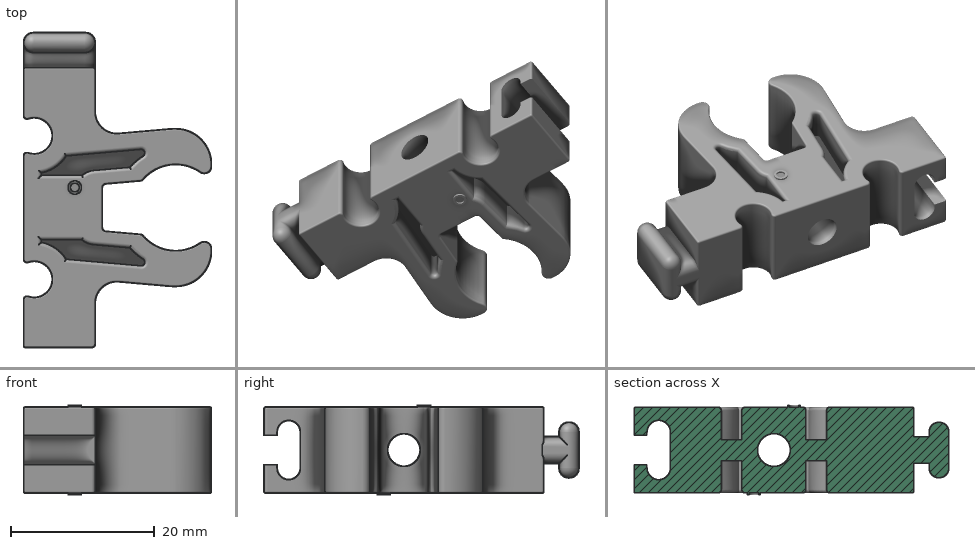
import math

import cadquery as cq

BAR_WIDTH = 10.0
BAR_LENGTH = 39.0
THICKNESS = 12.0
EDGE_ROUND = 0.25
CORNER_ROUND = 0.3
LARGE_CORNER_ROUND = 0.5

PIPE_RADIUS = 6.0
PIPE_X = 21.2
ARM_ANGLE = math.radians(5)
ARM_THICKNESS = 5.0
ARM_ROOT_RADIUS = 3.0
TIP_RADIUS = 1.0
THROAT_X = 11.0
THROAT_HALF_WIDTH = 3.25
THROAT_CORNER_ROUND = 0.5
THROAT_LIP_ROUND = 0.5

GROOVE_RADIUS = 2.5
GROOVE_X = 1.5
GROOVE_Y = 10.0
GROOVE_LIP_ROUND = 0.5

POCKET_DEPTH = 4.5
POCKET_WALL = 2.5
POCKET_GROOVE_WALL = 2.75
POCKET_INNER_WALL = 2.02
POCKET_INNER_Y = 4.5
POCKET_BEND_X = 9.8
POCKET_BEND_RADIUS = 3.0
POCKET_TIP_ROUND = 0.5
POCKET_RIM_ROUND = 0.5

HOLE_DIAMETER = 4.5

TONGUE_RADIUS = 1.4
TONGUE_Y = 23.0
TONGUE_HEIGHT = 7.8
NECK_HEIGHT = 3.8
NECK_ROUND = 1.4
SLOT_CLEARANCE = 0.2
SLOT_Y = -16.05
MOUTH_CLEARANCE = 0.15

RING_OUTER_DIAMETER = 1.86
RING_INNER_DIAMETER = 1.24
RING_HEIGHT = 0.25
RING_X = 7.15
RING_Y = 2.8

RIM_BAND = 0.1

TOP_Z = THICKNESS / 2
HALF_LENGTH = BAR_LENGTH / 2
SLOPE = math.tan(ARM_ANGLE)
ARM_OUTER_RADIUS = PIPE_RADIUS + ARM_THICKNESS
ARM_TOUCH_X = PIPE_X - ARM_OUTER_RADIUS * math.sin(ARM_ANGLE)
ARM_TOUCH_Y = ARM_OUTER_RADIUS * math.cos(ARM_ANGLE)


def polar(center, radius, angle):
    return (center[0] + radius * math.cos(angle), center[1] + radius * math.sin(angle))


def arm_outer_y(x):
    return ARM_TOUCH_Y + (x - ARM_TOUCH_X) * SLOPE


def throat_y(x):
    return THROAT_HALF_WIDTH + (x - THROAT_X) * SLOPE


def throat_lip_point():
    """Point where the sloped throat side meets the pipe circle."""
    normal_distance = throat_y(PIPE_X) * math.cos(ARM_ANGLE)
    along = math.sqrt(PIPE_RADIUS**2 - normal_distance**2)
    x = PIPE_X - normal_distance * math.sin(ARM_ANGLE) - along * math.cos(ARM_ANGLE)
    return (x, throat_y(x))


def half_body():
    """The +Y half of the bar and one arm, up to the mid plane Y = 0."""
    pipe = (PIPE_X, 0)
    back = (PIPE_X, PIPE_RADIUS)

    tip_to_pipe = PIPE_RADIUS + TIP_RADIUS
    tip_to_back = ARM_THICKNESS - TIP_RADIUS
    tip_y = (tip_to_pipe**2 - tip_to_back**2 + PIPE_RADIUS**2) / (2 * PIPE_RADIUS)
    tip = (PIPE_X + math.sqrt(tip_to_pipe**2 - tip_y**2), tip_y)
    back_end_angle = math.atan2(tip[1] - back[1], tip[0] - back[0])
    pipe_start_angle = math.atan2(tip[1], tip[0] - PIPE_X)
    tip_mid_angle = (back_end_angle + pipe_start_angle - math.pi) / 2

    back_end = polar(back, ARM_THICKNESS, back_end_angle)
    pipe_start = polar(pipe, PIPE_RADIUS, pipe_start_angle)
    lip = throat_lip_point()
    arm_mid_angle = (math.pi + ARM_ANGLE) / 2
    back_mid_angle = (math.pi / 2 + back_end_angle) / 2

    outline = (
        cq.Workplane("XY", origin=(0, 0, -TOP_Z))
        .moveTo(0, 0)
        .lineTo(0, HALF_LENGTH)
        .lineTo(BAR_WIDTH, HALF_LENGTH)
        .lineTo(BAR_WIDTH, arm_outer_y(BAR_WIDTH))
        .lineTo(ARM_TOUCH_X, ARM_TOUCH_Y)
        .threePointArc(polar(pipe, ARM_OUTER_RADIUS, arm_mid_angle), (PIPE_X, ARM_OUTER_RADIUS))
        .threePointArc(polar(back, ARM_THICKNESS, back_mid_angle), back_end)
        .threePointArc(polar(tip, TIP_RADIUS, tip_mid_angle), pipe_start)
        .threePointArc((PIPE_X, PIPE_RADIUS), lip)
        .lineTo(THROAT_X, THROAT_HALF_WIDTH)
        .lineTo(THROAT_X, 0)
        .close()
    )
    return outline.extrude(THICKNESS)


def round_upright_edges(solid, points, radius):
    """Round the Z-parallel edges that stand at the given XY points."""
    for x, y in points:
        edge = cq.selectors.NearestToPointSelector((x, y, 0))
        solid = solid.edges("|Z").edges(edge).fillet(radius)
    return solid


def body():
    upper = half_body()
    solid = upper.union(upper.mirror("XZ")).clean()
    grooves = (
        cq.Workplane("XY", origin=(0, 0, -TOP_Z))
        .pushPoints([(GROOVE_X, GROOVE_Y), (GROOVE_X, -GROOVE_Y)])
        .circle(GROOVE_RADIUS)
        .extrude(THICKNESS)
    )
    solid = solid.cut(grooves)

    lip_x, lip_y = throat_lip_point()
    groove_half_mouth = math.sqrt(GROOVE_RADIUS**2 - GROOVE_X**2)
    for side in (1, -1):
        arm_root = (BAR_WIDTH, side * arm_outer_y(BAR_WIDTH))
        throat_corner = (THROAT_X, side * THROAT_HALF_WIDTH)
        groove_lips = [(0, side * GROOVE_Y + offset) for offset in (groove_half_mouth, -groove_half_mouth)]
        solid = round_upright_edges(solid, [arm_root], ARM_ROOT_RADIUS)
        solid = round_upright_edges(solid, [throat_corner], THROAT_CORNER_ROUND)
        solid = round_upright_edges(solid, [(lip_x, side * lip_y)], THROAT_LIP_ROUND)
        solid = round_upright_edges(solid, groove_lips, GROOVE_LIP_ROUND)
    solid = round_upright_edges(solid, [(BAR_WIDTH, -HALF_LENGTH)], LARGE_CORNER_ROUND)
    small_corners = [(0, HALF_LENGTH), (0, -HALF_LENGTH), (BAR_WIDTH, HALF_LENGTH)]
    solid = round_upright_edges(solid, small_corners, CORNER_ROUND)
    return solid.faces("|Z").edges().fillet(EDGE_ROUND)


def pocket():
    """Cutter for the pocket in the +Y arm, sunk from the top face."""
    floor_z = TOP_Z - POCKET_DEPTH
    outer_drop = POCKET_WALL / math.cos(ARM_ANGLE)
    inner_rise = POCKET_INNER_WALL / math.cos(ARM_ANGLE)

    bend_end = (POCKET_BEND_X, throat_y(POCKET_BEND_X) + inner_rise)
    bend_end_angle = math.pi / 2 + ARM_ANGLE
    bend = polar(bend_end, -POCKET_BEND_RADIUS, bend_end_angle)
    bend_start_angle = math.pi - math.asin((POCKET_INNER_Y - bend[1]) / POCKET_BEND_RADIUS)
    bend_mid_angle = (bend_start_angle + bend_end_angle) / 2

    strip = (
        cq.Workplane("XY", origin=(0, 0, floor_z))
        .moveTo(POCKET_WALL, POCKET_INNER_Y)
        .lineTo(*polar(bend, POCKET_BEND_RADIUS, bend_start_angle))
        .threePointArc(polar(bend, POCKET_BEND_RADIUS, bend_mid_angle), bend_end)
        .lineTo(PIPE_X, throat_y(PIPE_X) + inner_rise)
        .lineTo(PIPE_X, arm_outer_y(PIPE_X) - outer_drop)
        .lineTo(POCKET_WALL, arm_outer_y(POCKET_WALL) - outer_drop)
        .close()
        .extrude(POCKET_DEPTH)
    )
    around_groove = (
        cq.Workplane("XY", origin=(GROOVE_X, GROOVE_Y, floor_z))
        .circle(GROOVE_RADIUS + POCKET_GROOVE_WALL)
        .extrude(POCKET_DEPTH)
    )
    around_pipe = (
        cq.Workplane("XY", origin=(PIPE_X, 0, floor_z))
        .circle(PIPE_RADIUS + POCKET_WALL)
        .extrude(POCKET_DEPTH)
    )
    cutter = strip.cut(around_groove).cut(around_pipe)
    cutter = cq.Workplane(cutter.solids("<X").val())
    return cutter.edges("|Z").edges(">X").fillet(POCKET_TIP_ROUND)


def flared_pocket():
    """The pocket cutter, widened at the top face by the rounded rim."""
    straight = pocket()
    at_top = cq.selectors.BoxSelector((0, 0, TOP_Z - RIM_BAND), (PIPE_X, BAR_LENGTH, TOP_Z + RIM_BAND))
    blank = cq.Workplane("XY").box(2 * BAR_LENGTH, 2 * BAR_LENGTH, THICKNESS)
    sunk = blank.cut(straight).edges(at_top).fillet(POCKET_RIM_ROUND)
    return blank.cut(sunk)


def cut_pockets(solid):
    upper = flared_pocket()
    for cutter in (upper, upper.mirror("XZ")):
        solid = solid.cut(cutter).cut(cutter.mirror("XY"))
    return solid


def tongue():
    """Thick plate with fully rounded edges, joined to the bar by a rounded neck."""
    r = TONGUE_RADIUS
    plate_height = TONGUE_HEIGHT - 2 * r
    plate_width = BAR_WIDTH - 2 * r
    plate = cq.Workplane("XY").box(plate_width, 2 * r, plate_height)
    for side in (1, -1):
        long_start = (-plate_width / 2, 0, side * plate_height / 2)
        upright_start = (side * plate_width / 2, 0, -plate_height / 2)
        plate = plate.union(cq.Workplane("YZ", origin=long_start).circle(r).extrude(plate_width))
        plate = plate.union(cq.Workplane("XY", origin=upright_start).circle(r).extrude(plate_height))
        for end in (1, -1):
            corner = (side * plate_width / 2, 0, end * plate_height / 2)
            plate = plate.union(cq.Workplane("XY").sphere(r).translate(corner))
    plate = plate.translate((BAR_WIDTH / 2, TONGUE_Y, 0))

    neck_start = HALF_LENGTH - EDGE_ROUND
    neck_length = TONGUE_Y - neck_start
    neck = (
        cq.Workplane("XY")
        .box(BAR_WIDTH, neck_length, NECK_HEIGHT)
        .edges("|Y")
        .fillet(NECK_ROUND)
        .translate((BAR_WIDTH / 2, neck_start + neck_length / 2, 0))
    )
    return plate.union(neck)


def slot():
    """Cutter for the slot that takes the tongue of the next part."""
    slot_width = 2 * (TONGUE_RADIUS + SLOT_CLEARANCE)
    slot_height = TONGUE_HEIGHT + 2 * SLOT_CLEARANCE
    mouth_height = NECK_HEIGHT + 2 * MOUTH_CLEARANCE
    chamber = (
        cq.Workplane("YZ", origin=(0, SLOT_Y, 0))
        .slot2D(slot_height, slot_width, 90)
        .extrude(BAR_WIDTH)
    )
    mouth_length = HALF_LENGTH + SLOT_Y
    mouth = cq.Workplane("XY").box(BAR_WIDTH, mouth_length, mouth_height)
    return chamber.union(mouth.translate((BAR_WIDTH / 2, SLOT_Y - mouth_length / 2, 0)))


def cross_hole():
    return cq.Workplane("YZ").circle(HOLE_DIAMETER / 2).extrude(THROAT_X)


def ring(y, base_z):
    return (
        cq.Workplane("XY", origin=(RING_X, y, base_z))
        .circle(RING_OUTER_DIAMETER / 2)
        .circle(RING_INNER_DIAMETER / 2)
        .extrude(RING_HEIGHT)
    )


result = cut_pockets(body())
result = result.cut(cross_hole()).cut(slot()).union(tongue())
result = result.union(ring(RING_Y, TOP_Z)).union(ring(-RING_Y, -TOP_Z - RING_HEIGHT))